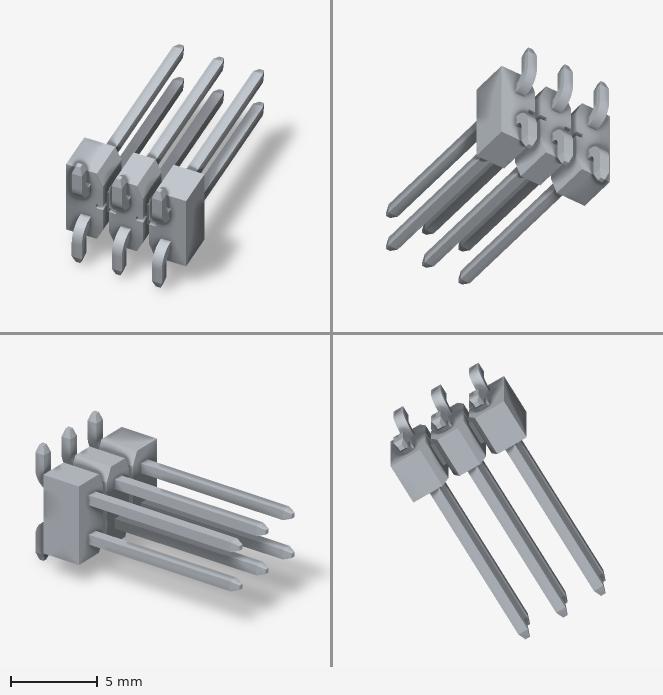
import cadquery as cq

columns = 3
body_width = 7.62
overall_length = 14.48
overall_height = 7.44

pitch = body_width / columns
body_depth = pitch
body_height = 2 * pitch

gap_width = 0.38
gap_mouth_width = 1.16
gap_mouth_depth = 0.85

bridge_height = 1.52
bridge_depth = 1.4
slot_width = 1.27
slot_height = 0.3
slot_depth = (body_depth - bridge_depth) / 2

pin_size = 0.64
tip_size = 0.29
tip_length = 0.5
tail_reach = 1.27
bend_outer_radius = 1.17
bend_inner_radius = bend_outer_radius - pin_size

tail_y = -tail_reach
pin_end_y = overall_length - tail_reach
tail_end_z = overall_height / 2
pin_row_z = pitch / 2


def block_centre(column):
    return (column - (columns - 1) / 2) * pitch


def gap_centre(gap):
    return block_centre(gap) + pitch / 2


def centred_box(width, depth, height, x, y_start):
    """Box centred on x and on z = 0, running toward +Y from y_start."""
    return cq.Workplane("XY").box(width, depth, height, centered=(True, False, True)).translate((x, y_start, 0))


def flared_gap(x):
    """Gap through the full depth of the body, widening toward its top and bottom."""
    half_gap = gap_width / 2
    half_mouth = gap_mouth_width / 2
    top = body_height / 2
    flare_start = top - gap_mouth_depth
    outline = [
        (-half_mouth, top),
        (half_mouth, top),
        (half_gap, flare_start),
        (half_gap, -flare_start),
        (half_mouth, -top),
        (-half_mouth, -top),
        (-half_gap, -flare_start),
        (-half_gap, flare_start),
    ]
    return cq.Workplane("XZ").polyline(outline).close().extrude(-body_depth).translate((x, 0, 0))


def make_housing():
    housing = centred_box(body_width, body_depth, body_height, 0, 0)
    for gap in range(columns - 1):
        x = gap_centre(gap)
        housing = housing.cut(flared_gap(x))
        housing = housing.union(centred_box(gap_width, bridge_depth, bridge_height, x, slot_depth))
        housing = housing.cut(centred_box(slot_width, slot_depth, slot_height, x, 0))
    return housing


def tapered_tip(plane):
    """Truncated pyramid along the normal of the plane."""
    return (
        cq.Workplane(plane)
        .rect(pin_size, pin_size)
        .workplane(offset=tip_length)
        .rect(tip_size, tip_size)
        .loft(ruled=True)
    )


def make_upper_pin():
    """Pin of the upper row at x = 0, its tail bent toward +Z."""
    pin_bottom = pin_row_z - pin_size / 2
    pin_top = pin_row_z + pin_size / 2
    tip_start_y = pin_end_y - tip_length
    tip_start_z = tail_end_z - tip_length
    bend_start_y = tail_y + bend_outer_radius
    bend_end_z = pin_bottom + bend_outer_radius
    shank = (
        cq.Workplane("YZ")
        .moveTo(tip_start_y, pin_bottom)
        .lineTo(bend_start_y, pin_bottom)
        .radiusArc((tail_y, bend_end_z), bend_outer_radius)
        .lineTo(tail_y, tip_start_z)
        .lineTo(tail_y + pin_size, tip_start_z)
        .lineTo(tail_y + pin_size, bend_end_z)
        .radiusArc((bend_start_y, pin_top), -bend_inner_radius)
        .lineTo(tip_start_y, pin_top)
        .close()
        .extrude(pin_size / 2, both=True)
    )
    long_tip = tapered_tip(cq.Plane(origin=(0, tip_start_y, pin_row_z), xDir=(1, 0, 0), normal=(0, 1, 0)))
    tail_tip = tapered_tip(cq.Plane(origin=(0, tail_y + pin_size / 2, tip_start_z)))
    return shank.union(long_tip).union(tail_tip)


result = make_housing()
upper_pin = make_upper_pin()
lower_pin = upper_pin.mirror("XY")
for column in range(columns):
    pin_offset = (block_centre(column), 0, 0)
    result = result.union(upper_pin.translate(pin_offset)).union(lower_pin.translate(pin_offset))